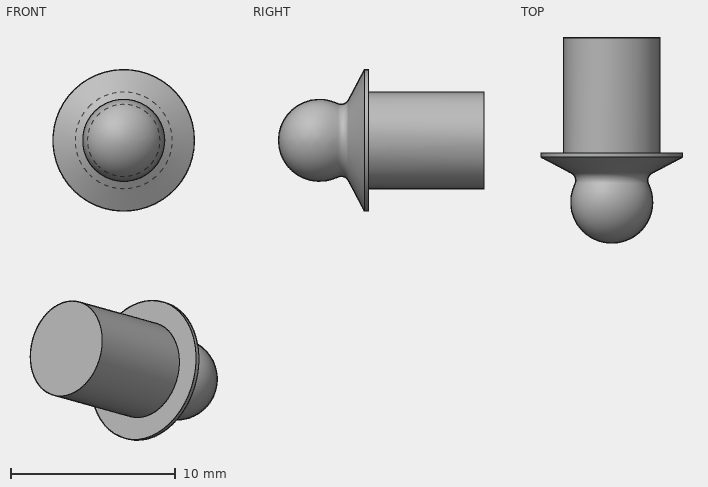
import cadquery as cq
import math

total_length = 12.48
ball_radius = 2.5
shank_radius = 5.88 / 2
flange_radius = 8.6 / 2
shank_length = 7.0
rim_thickness = 0.26
neck_fillet_radius = 0.5
ball_contact_angle = math.radians(64.0)

flange_back = total_length - shank_length
rim_front = flange_back - rim_thickness


def polar(center, distance, angle):
    """Point (radius, Y) at an angle from +Y towards the outside."""
    return (center[0] + distance * math.sin(angle), center[1] + distance * math.cos(angle))


ball_center = (0, ball_radius)
neck_center = polar(ball_center, ball_radius + neck_fillet_radius, ball_contact_angle)
ball_end = polar(ball_center, ball_radius, ball_contact_angle)
ball_middle = polar(ball_center, ball_radius, (math.pi + ball_contact_angle) / 2)

neck_start_angle = ball_contact_angle - math.pi
rim_offset = (flange_radius - neck_center[0], rim_front - neck_center[1])
rim_distance = math.hypot(*rim_offset)
rim_angle = math.atan2(*rim_offset)
neck_end_angle = rim_angle - math.acos(neck_fillet_radius / rim_distance)
neck_middle_angle = (neck_start_angle + neck_end_angle) / 2
neck_middle = polar(neck_center, neck_fillet_radius, neck_middle_angle)
neck_end = polar(neck_center, neck_fillet_radius, neck_end_angle)

profile = (
    cq.Workplane("XY")
    .moveTo(0, 0)
    .threePointArc(ball_middle, ball_end)
    .threePointArc(neck_middle, neck_end)
    .lineTo(flange_radius, rim_front)
    .lineTo(flange_radius, flange_back)
    .lineTo(shank_radius, flange_back)
    .lineTo(shank_radius, total_length)
    .lineTo(0, total_length)
    .close()
)

result = profile.revolve(360, (0, 0, 0), (0, 1, 0))